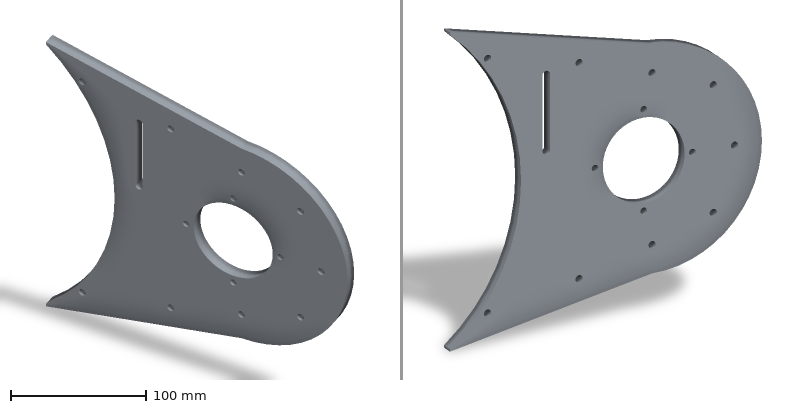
import cadquery as cq
import math

length = 256.0
height = 251.0
thickness = 10.0

nose_radius = 90.0
concave_radius = 160.0
concave_depth = 58.3

bore_diameter = 67.0
bore_x = -7.0
bore_hole_diameter = 5.5
bore_hole_offset = 40.0

mount_diameter = 6.0
nose_hole_x = 67.5
mirrored_mounts = [(-134.9, 100.0), (-60.0, 85.0), (0, nose_hole_x), (50.2, 50.2)]

slot_x = -86.8
slot_z = 50.0
slot_length = 66.0
slot_width = 6.1

tip_x = nose_radius - length
tip_z = height / 2
concave_x = tip_x + concave_depth
flat_z = math.sqrt(concave_radius**2 - (concave_radius - concave_depth)**2)


def make_plate():
    """Plate with a round nose, tapered sides and a concave rear edge."""
    return (
        cq.Workplane("XZ")
        .moveTo(tip_x, flat_z)
        .lineTo(tip_x, tip_z)
        .lineTo(0, nose_radius)
        .threePointArc((nose_radius, 0), (0, -nose_radius))
        .lineTo(tip_x, -tip_z)
        .lineTo(tip_x, -flat_z)
        .threePointArc((concave_x, 0), (tip_x, flat_z))
        .close()
        .extrude(thickness / 2, both=True)
    )


def make_holes(points, diameter):
    """Round cutters running through the plate at the given (X, Z) points."""
    return (
        cq.Workplane("XZ")
        .pushPoints(points)
        .circle(diameter / 2)
        .extrude(thickness, both=True)
    )


def make_slot():
    """Cutter for the round-ended slot."""
    return (
        cq.Workplane("XZ")
        .center(slot_x, slot_z)
        .slot2D(slot_length, slot_width, 90)
        .extrude(thickness, both=True)
    )


bore_holes = [
    (bore_x + bore_hole_offset, 0),
    (bore_x - bore_hole_offset, 0),
    (bore_x, bore_hole_offset),
    (bore_x, -bore_hole_offset),
]
mounts = [(nose_hole_x, 0)]
for x, z in mirrored_mounts:
    mounts += [(x, z), (x, -z)]

result = (
    make_plate()
    .cut(make_holes([(bore_x, 0)], bore_diameter))
    .cut(make_holes(bore_holes, bore_hole_diameter))
    .cut(make_holes(mounts, mount_diameter))
    .cut(make_slot())
)